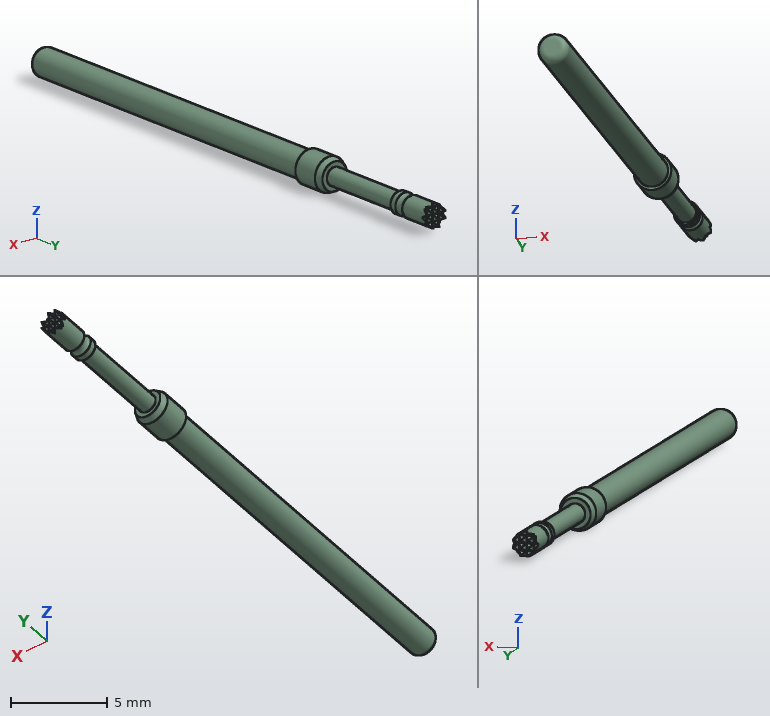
import cadquery as cq
import math

TOTAL_LENGTH = 32.3
BARREL_LENGTH = 22.0
COLLAR_LENGTH = 2.0

BARREL_RADIUS = 0.825
BARREL_END_FILLET = 0.4
COLLAR_RADIUS = 1.0
COLLAR_TAPER_LENGTH = 0.4
COLLAR_TIP_RADIUS = BARREL_RADIUS

SHAFT_RADIUS = 0.53
HEAD_RADIUS = 0.65
HEAD_LENGTH = 2.0
NECK_LENGTH = 0.55
RING_LENGTH = 0.4

GROOVES_PER_DIRECTION = 3
GROOVE_PITCH = 0.4
GROOVE_ANGLE = 60
GROOVE_DEPTH = GROOVE_PITCH / 2 / math.tan(math.radians(GROOVE_ANGLE / 2))

NECK_SAG = HEAD_RADIUS - SHAFT_RADIUS
NECK_ARC_RADIUS = ((NECK_LENGTH / 2) ** 2 + NECK_SAG**2) / (2 * NECK_SAG)

COLLAR_END = BARREL_LENGTH + COLLAR_LENGTH
HEAD_START = TOTAL_LENGTH - HEAD_LENGTH
NECK_MIDDLE = HEAD_START - NECK_LENGTH / 2
RING_END = HEAD_START - NECK_LENGTH
RING_START = RING_END - RING_LENGTH


def turned_body():
    """Revolve the half profile (radius, station) about the Y axis."""
    return (
        cq.Workplane("XY")
        .lineTo(BARREL_RADIUS - BARREL_END_FILLET, 0)
        .radiusArc((BARREL_RADIUS, BARREL_END_FILLET), -BARREL_END_FILLET)
        .lineTo(BARREL_RADIUS, BARREL_LENGTH)
        .lineTo(COLLAR_RADIUS, BARREL_LENGTH)
        .lineTo(COLLAR_RADIUS, COLLAR_END - COLLAR_TAPER_LENGTH)
        .lineTo(COLLAR_TIP_RADIUS, COLLAR_END)
        .lineTo(SHAFT_RADIUS, COLLAR_END)
        .lineTo(SHAFT_RADIUS, RING_START)
        .lineTo(HEAD_RADIUS, RING_START)
        .lineTo(HEAD_RADIUS, RING_END)
        .radiusArc((SHAFT_RADIUS, NECK_MIDDLE), NECK_ARC_RADIUS)
        .radiusArc((HEAD_RADIUS, HEAD_START), NECK_ARC_RADIUS)
        .lineTo(HEAD_RADIUS, TOTAL_LENGTH)
        .lineTo(0, TOTAL_LENGTH)
        .close()
        .revolve(360, (0, 0, 0), (0, 1, 0))
    )


def crown_groove(offset):
    """V-shaped bar along Z, sunk into the tip at the given X offset."""
    return (
        cq.Workplane("XY")
        .moveTo(offset - GROOVE_PITCH / 2, TOTAL_LENGTH)
        .lineTo(offset, TOTAL_LENGTH - GROOVE_DEPTH)
        .lineTo(offset + GROOVE_PITCH / 2, TOTAL_LENGTH)
        .close()
        .extrude(2 * HEAD_RADIUS, both=True)
    )


def cut_crown(body):
    """Cut equally spaced grooves along Z, then the same set along X, leaving a grid of points."""
    middle = (GROOVES_PER_DIRECTION - 1) / 2
    for index in range(GROOVES_PER_DIRECTION):
        groove = crown_groove((index - middle) * GROOVE_PITCH)
        body = body.cut(groove)
        body = body.cut(groove.rotate((0, 0, 0), (0, 1, 0), 90))
    return body


result = cut_crown(turned_body())